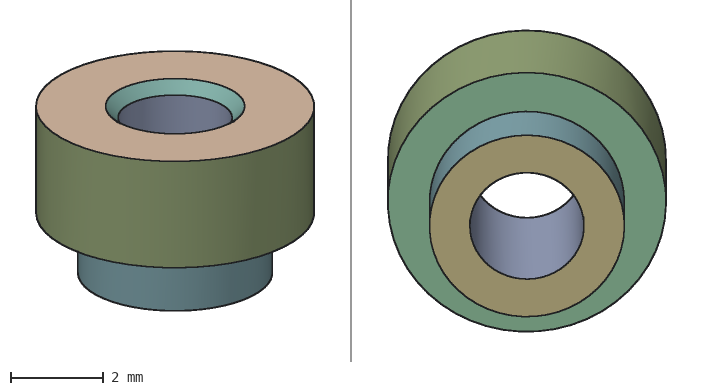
import cadquery as cq

head_diameter = 6
shank_diameter = 4.2
bore_diameter = 2.46
countersink_diameter = 3
total_height = 3.9
head_height = 2.495

shank_height = total_height - head_height
countersink_depth = (countersink_diameter - bore_diameter) / 2

shank = cq.Workplane("XY").circle(shank_diameter / 2).extrude(shank_height)
body = shank.faces(">Z").workplane().circle(head_diameter / 2).extrude(head_height)

bored = body.faces(">Z").workplane().hole(bore_diameter)
bore_rim = bored.faces(">Z").edges(cq.selectors.RadiusNthSelector(0))
result = bore_rim.chamfer(countersink_depth)